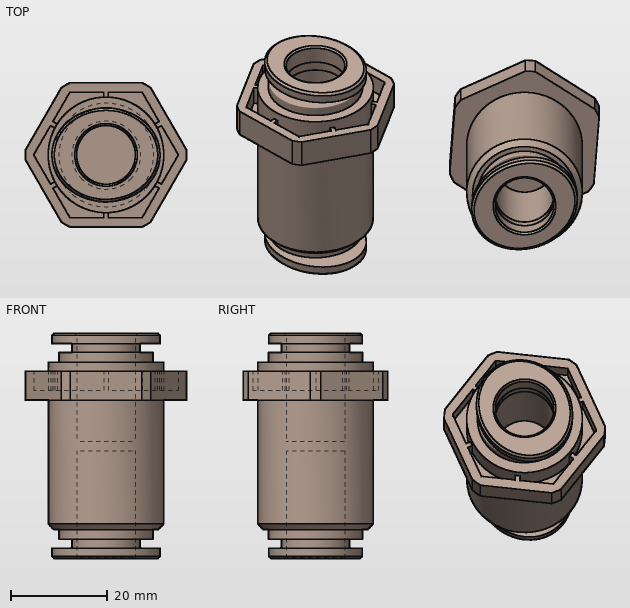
import cadquery as cq
import math

total_length = 46.8
half_length = total_length / 2

body_diameter = 24.0
body_end_inset = 6.0
body_top = half_length - body_end_inset
body_bottom = -body_top
bottom_chamfer = 1.2
bore_diameter = 12.2
stop_wall_thickness = 2.0

hex_across_flats = 30.0
hex_corner_diameter = 33.5
hex_height = 6.0
hex_top_inset = 1.9
hex_top = body_top - hex_top_inset
hex_bottom = hex_top - hex_height
rim_thickness = 2.0
pocket_across_flats = hex_across_flats - 2 * rim_thickness
pocket_depth = 4.0
rib_width = 1.0
rib_count = 6

ring_diameter = 19.6
ring_bore_diameter = 12.18
ring_height = 2.0
ring_edge_fillet = 0.2

neck_diameter = 14.2
collar_length_x = 22.45
collar_length_y = 19.45
collar_height = 2.2
collar_chamfer = 0.5
mouth_chamfer = 0.4
neck_fillet = 0.15
sleeve_height = body_end_inset - ring_height


def cylinder(diameter, bottom, top):
    return cq.Workplane("XY").workplane(offset=bottom).circle(diameter / 2).extrude(top - bottom)


def hex_prism(across_flats, bottom, top):
    """Hexagonal prism with two of its corners on the X axis."""
    plane = cq.Workplane("XY").workplane(offset=bottom)
    across_corners = across_flats / math.cos(math.pi / 6)
    return plane.polygon(6, across_corners).extrude(top - bottom)


def make_flange():
    """Hexagon with rounded corners, hollowed from above around six ribs."""
    blank = hex_prism(hex_across_flats, hex_bottom, hex_top)
    blank = blank.intersect(cylinder(hex_corner_diameter, hex_bottom, hex_top))

    pocket_floor = hex_top - pocket_depth
    pockets = hex_prism(pocket_across_flats, pocket_floor, hex_top)
    pockets = pockets.cut(cylinder(body_diameter, pocket_floor, hex_top))
    rib = (
        cq.Workplane("XY")
        .workplane(offset=pocket_floor)
        .center(0, hex_across_flats / 4)
        .rect(rib_width, hex_across_flats / 2)
        .extrude(pocket_depth)
    )
    for index in range(rib_count):
        pockets = pockets.cut(rib.rotate((0, 0, 0), (0, 0, 1), index * 360 / rib_count))
    return blank.cut(pockets)


def make_body():
    """Cylinder with the flange, and a bore from each end up to a central stop wall."""
    barrel = cylinder(body_diameter, body_bottom, body_top)
    barrel = barrel.faces("<Z").edges().chamfer(bottom_chamfer)
    body = barrel.union(make_flange())
    half_wall = stop_wall_thickness / 2
    body = body.cut(cylinder(bore_diameter, half_wall, body_top))
    return body.cut(cylinder(bore_diameter, body_bottom, -half_wall))


def make_ring():
    """Upper ring, seated on the top face of the body."""
    ring_top = body_top + ring_height
    ring = cylinder(ring_diameter, body_top, ring_top)
    ring = ring.faces(">Z").edges().fillet(ring_edge_fillet)
    return ring.cut(cylinder(ring_bore_diameter, body_top, ring_top))


def make_sleeve():
    """Upper sleeve, seated on the upper ring."""
    sleeve_bottom = half_length - sleeve_height
    collar_bottom = half_length - collar_height
    collar = (
        cq.Workplane("XY")
        .workplane(offset=collar_bottom)
        .ellipse(collar_length_x / 2, collar_length_y / 2)
        .extrude(collar_height)
    )
    collar = collar.faces(">Z").edges().chamfer(collar_chamfer)
    sleeve = collar.union(cylinder(neck_diameter, sleeve_bottom, collar_bottom))
    neck_root = cq.selectors.BoxSelector(
        (-neck_diameter, -neck_diameter, collar_bottom - neck_fillet),
        (neck_diameter, neck_diameter, collar_bottom + neck_fillet),
    )
    sleeve = sleeve.edges(neck_root).edges("%CIRCLE").fillet(neck_fillet)
    sleeve = sleeve.cut(cylinder(bore_diameter, sleeve_bottom, half_length))
    return sleeve.faces(">Z").edges("%CIRCLE").chamfer(mouth_chamfer)


def at_both_ends(upper):
    """The upper solid and its mirror copy at the lower end."""
    return [upper.val(), upper.mirror("XY").val()]


body = make_body()
rings = at_both_ends(make_ring())
sleeves = at_both_ends(make_sleeve())

result = cq.Compound.makeCompound([body.val(), *rings, *sleeves])